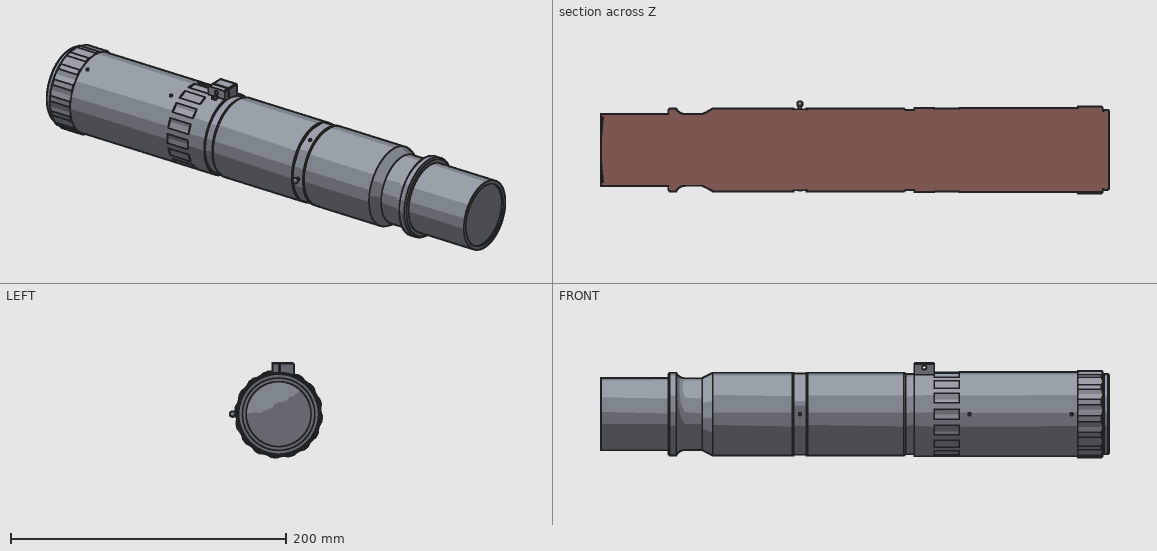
import cadquery as cq
import math


FLANGE_START = 49.0
FLARE_START = 54.7
NECK_START = 61.1
CONE_START = 73.6
CONE_END = 80.5
BODY_START = 81.5
RING_START = 139.2
RING_END = 150.2
BODY_END = 221.6
CLAMP_START = 227.7
CLAMP_END = 242.4
FLUTES_END = 260.5
GRIP_START = 346.6
GRIP_END = 364.8
LENGTH = 369.4

BARREL_R = 26.3
NECK_R = 26.2
CONE_END_R = 29.7
BODY_R = 30.25
RECESS_R = 29.2
TUBE_R = 30.7
GRIP_R = 31.7
NOSE_R = 29.2

FLANGE_CHAMFER = 1.2
BODY_END_CHAMFER = 1.6
GRIP_CHAMFER = 1.1
NOSE_CHAMFER = 1.0
RING_GROOVE_WIDTH = 1.1
RING_GROOVE_DEPTH = 0.9

DOME_R = 23.6
DOME_RISE = 1.5

RING_FLAT_COUNT = 12
RING_FLAT_APOTHEM = 29.6

FLUTE_COUNT = 16
FLUTE_CUTTER_R = 10.0
FLUTE_FLOOR_R = 29.75
FLUTE_PHASE = 0.0

GRIP_COUNT = 16
GRIP_CUTTER_R = 12.0
GRIP_FLOOR_R = 30.7
GRIP_PHASE = 17.3

SCREW_ANGLES = (60, 180, 300)
SCREW_D = 2.0
SCREW_DEPTH = 3.0
TUBE_SCREW_STATIONS = (267.9, 342.1)

KNOB_TIP_Y = 35.5
KNOB_BALL_R = 2.1
KNOB_STEM_R = 1.1
KNOB_ROOT_DEPTH = 1.0

EAR_TOP_Z = 37.23
EAR_MIN_Y = -11.2
EAR_MAX_Y = 4.6
EAR_ROOT_Z = 27.0
EAR_CHAMFER = 0.7
EAR_SIDE_CHAMFER = 1.1
SLIT_Y = -0.6
SLIT_WIDTH = 1.0
CLAMP_HOLE_D = 3.0
CLAMP_HOLE_Z = 33.9
LUG_WIDTH = 3.2
LUG_MAX_Y = 8.0
LUG_TOP_Z = 31.0


def around(shape, angle):
    """Turn a shape built on the +Y side about the part axis."""
    return shape.rotate((0, 0, 0), (1, 0, 0), angle)


def rod_along_x(radius, start, end, y):
    """Cylinder parallel to the part axis, offset to the given Y."""
    return cq.Workplane("YZ", origin=(start, y, 0)).circle(radius).extrude(end - start)


def block(x_span, y_span, z_span):
    """Box given by its limits along each axis."""
    sizes = [high - low for low, high in (x_span, y_span, z_span)]
    corner = (x_span[0], y_span[0], z_span[0])
    return cq.Workplane("XY").box(*sizes, centered=False).translate(corner)


def turned_body():
    """Revolved outline from the domed front face to the rear nose."""
    dome_sphere_r = (DOME_R**2 + DOME_RISE**2) / (2 * DOME_RISE)
    dome_half_angle = math.asin(DOME_R / dome_sphere_r) / 2
    dome_mid = (
        dome_sphere_r * (1 - math.cos(dome_half_angle)),
        dome_sphere_r * math.sin(dome_half_angle),
    )
    flare_rise = BODY_R - NECK_R
    flare_run = NECK_START - FLARE_START
    flare_r = (flare_run**2 + flare_rise**2) / (2 * flare_rise)
    half_sweep = math.asin(flare_run / flare_r) / 2
    flare_mid = (
        NECK_START - flare_r * math.sin(half_sweep),
        NECK_R + flare_r * (1 - math.cos(half_sweep)),
    )
    outline = (
        cq.Workplane("XZ")
        .moveTo(0, 0)
        .threePointArc(dome_mid, (DOME_RISE, DOME_R))
        .lineTo(0, DOME_R)
        .lineTo(0, BARREL_R)
        .lineTo(FLANGE_START, BARREL_R)
        .lineTo(FLANGE_START, BODY_R - FLANGE_CHAMFER)
        .lineTo(FLANGE_START + FLANGE_CHAMFER, BODY_R)
        .lineTo(FLARE_START, BODY_R)
        .threePointArc(flare_mid, (NECK_START, NECK_R))
        .lineTo(CONE_START, NECK_R)
        .lineTo(CONE_END, CONE_END_R)
        .lineTo(BODY_START, BODY_R)
    )
    for edge, side in ((RING_START, 1), (RING_END, -1)):
        near, far = sorted((edge, edge + side * RING_GROOVE_WIDTH))
        outline = (
            outline.lineTo(near, BODY_R)
            .lineTo((near + far) / 2, BODY_R - RING_GROOVE_DEPTH)
            .lineTo(far, BODY_R)
        )
    outline = (
        outline.lineTo(BODY_END - BODY_END_CHAMFER, BODY_R)
        .lineTo(BODY_END, RECESS_R)
        .lineTo(CLAMP_START, RECESS_R)
        .lineTo(CLAMP_START, TUBE_R)
        .lineTo(GRIP_START, TUBE_R)
        .lineTo(GRIP_START, GRIP_R)
        .lineTo(GRIP_END - GRIP_CHAMFER, GRIP_R)
        .lineTo(GRIP_END, GRIP_R - GRIP_CHAMFER)
        .lineTo(GRIP_END, NOSE_R - NOSE_CHAMFER)
        .lineTo(GRIP_END + NOSE_CHAMFER, NOSE_R)
        .lineTo(LENGTH - NOSE_CHAMFER, NOSE_R)
        .lineTo(LENGTH, NOSE_R - NOSE_CHAMFER)
        .lineTo(LENGTH, 0)
        .close()
    )
    return outline.revolve(360, (0, 0, 0), (1, 0, 0))


def cut_ring_flats(body):
    """Evenly spaced flats between the grooves of the adjusting ring."""
    flat = block(
        (RING_START + RING_GROOVE_WIDTH, RING_END - RING_GROOVE_WIDTH),
        (RING_FLAT_APOTHEM, TUBE_R),
        (-BODY_R / 2, BODY_R / 2),
    )
    for index in range(RING_FLAT_COUNT):
        body = body.cut(around(flat, index * 360 / RING_FLAT_COUNT))
    return body


def cut_scallops(body, count, phase, cutter_r, floor_r, start, end):
    """Evenly spaced concave scallops parallel to the axis."""
    cutter = rod_along_x(cutter_r, start, end, floor_r + cutter_r)
    for index in range(count):
        body = body.cut(around(cutter, phase + index * 360 / count))
    return body


def cut_set_screws(body, station, surface_r):
    """Blind radial holes at one station along the axis."""
    hole = (
        cq.Workplane("XZ", origin=(station, surface_r - SCREW_DEPTH, 0))
        .circle(SCREW_D / 2)
        .extrude(-2 * SCREW_DEPTH)
    )
    for angle in SCREW_ANGLES:
        body = body.cut(around(hole, angle))
    return body


def ball_knob():
    """Ball on a short stem, standing on the +Y side of the adjusting ring."""
    station = (RING_START + RING_END) / 2
    ball_y = KNOB_TIP_Y - KNOB_BALL_R
    root_y = RING_FLAT_APOTHEM - KNOB_ROOT_DEPTH
    stem = (
        cq.Workplane("XZ", origin=(station, root_y, 0))
        .circle(KNOB_STEM_R)
        .extrude(root_y - ball_y)
    )
    return stem.union(cq.Workplane("XY").sphere(KNOB_BALL_R).translate((station, ball_y, 0)))


def clamp_ears():
    """Two ears parted by a slit and pierced for the clamp screw, with the screw lug behind."""
    x_span = (CLAMP_START, CLAMP_END)
    middle = (CLAMP_START + CLAMP_END) / 2
    slit_low = SLIT_Y - SLIT_WIDTH / 2
    slit_high = SLIT_Y + SLIT_WIDTH / 2
    z_span = (EAR_ROOT_Z, EAR_TOP_Z)

    wide_ear = block(x_span, (EAR_MIN_Y, slit_low), z_span)
    wide_ear = wide_ear.edges(">Z and |Y").chamfer(EAR_CHAMFER)
    wide_ear = wide_ear.edges(">Z and <Y").chamfer(EAR_SIDE_CHAMFER)
    narrow_ear = block(x_span, (slit_high, EAR_MAX_Y), z_span)
    narrow_ear = narrow_ear.edges(">Z and |Y").chamfer(EAR_CHAMFER)
    lug = block(
        (middle - LUG_WIDTH / 2, middle + LUG_WIDTH / 2),
        (0, LUG_MAX_Y),
        (EAR_ROOT_Z, LUG_TOP_Z),
    )
    lug = lug.cut(block(x_span, (0, EAR_MAX_Y), z_span))
    hole = (
        cq.Workplane("XZ", origin=(middle, EAR_MIN_Y, CLAMP_HOLE_Z))
        .circle(CLAMP_HOLE_D / 2)
        .extrude(EAR_MIN_Y - LUG_MAX_Y)
    )
    return [ear.cut(hole) for ear in (wide_ear, narrow_ear)] + [lug]


body = turned_body()
body = cut_ring_flats(body)
body = cut_scallops(
    body, FLUTE_COUNT, FLUTE_PHASE, FLUTE_CUTTER_R, FLUTE_FLOOR_R, CLAMP_END, FLUTES_END
)
body = cut_scallops(
    body, GRIP_COUNT, GRIP_PHASE, GRIP_CUTTER_R, GRIP_FLOOR_R, GRIP_START, GRIP_END
)
body = cut_set_screws(body, (RING_START + RING_END) / 2, RING_FLAT_APOTHEM)
for tube_station in TUBE_SCREW_STATIONS:
    body = cut_set_screws(body, tube_station, TUBE_R)
body = body.union(ball_knob())
for ear_piece in clamp_ears():
    body = body.union(ear_piece)

result = body